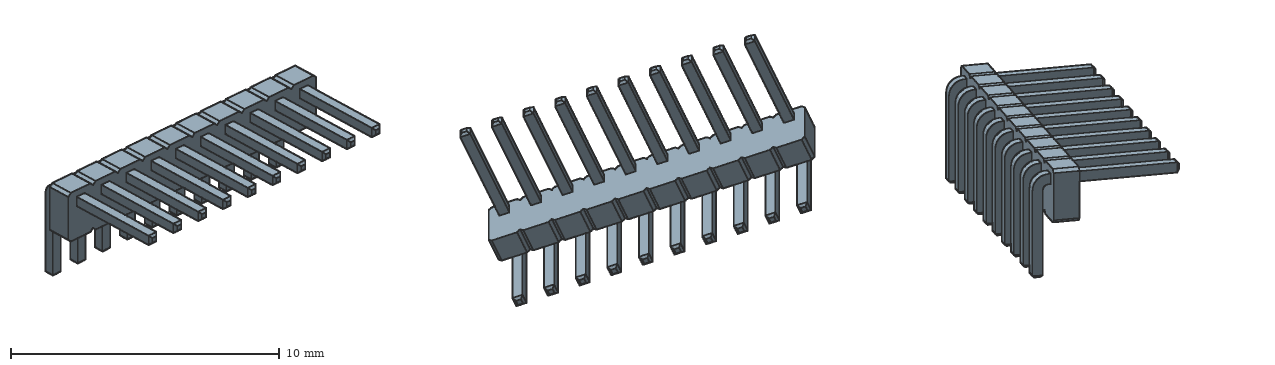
import cadquery as cq

pin_count = 10
body_length = 12.7
pitch = body_length / pin_count

body_thickness = 1.0
body_height = 2.11
body_offset = 0.7
notch_depth = 0.13

pin_width = 0.41
pin_reach = 5.7
pin_drop = 0.29
total_height = 4.35
inner_bend_radius = 0.2
outer_bend_radius = inner_bend_radius + pin_width
tip_chamfer = 0.1


def cell_position(index):
    """Y of the centre of one body cell and its pin."""
    return (index - (pin_count - 1) / 2) * pitch


def make_cell(y):
    """One octagonal body cell; neighbouring chamfers form the V notches."""
    return (
        cq.Workplane("XY")
        .box(body_thickness, pitch, body_height)
        .edges("|X")
        .chamfer(notch_depth)
        .translate((body_offset + body_thickness / 2, y, -body_height / 2))
    )


def make_pin(y):
    """One L-shaped pin with a rounded bend and tapered tips."""
    top = -pin_drop
    pin = (
        cq.Workplane("XZ")
        .moveTo(0, -total_height)
        .lineTo(0, top)
        .lineTo(pin_reach, top)
        .lineTo(pin_reach, top - pin_width)
        .lineTo(pin_width, top - pin_width)
        .lineTo(pin_width, -total_height)
        .close()
        .extrude(pin_width / 2, both=True)
    )
    outer_corner = cq.selectors.NearestToPointSelector((0, 0, top))
    inner_corner = cq.selectors.NearestToPointSelector((pin_width, 0, top - pin_width))
    pin = pin.edges("|Y").edges(outer_corner).fillet(outer_bend_radius)
    pin = pin.edges("|Y").edges(inner_corner).fillet(inner_bend_radius)
    pin = pin.faces(">X").chamfer(tip_chamfer)
    pin = pin.faces("<Z").chamfer(tip_chamfer)
    return pin.translate((0, y, 0))


result = make_cell(cell_position(0))
for index in range(1, pin_count):
    result = result.union(make_cell(cell_position(index)))
result = result.clean()

for index in range(pin_count):
    result = result.union(make_pin(cell_position(index)))